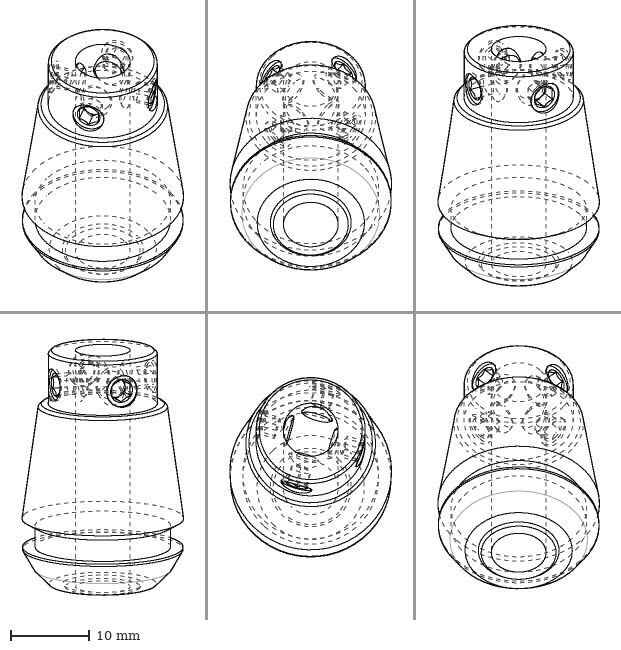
import cadquery as cq
import math

total_height = 31.0
bore_diameter = 7.0
head_diameter = 13.98
head_bottom = 24.0
edge_chamfer = 0.4

taper_diameter = 20.75
taper_angle = math.radians(8)
taper_bottom = 8.93

groove_diameter = 17.4
groove_top = 8.0
groove_bottom = 5.2

collar_diameter = 20.6
collar_bottom = 4.9
upper_nose_angle = math.radians(30)
nose_break = 2.32
nose_angle = math.radians(45)
nose_bottom = 0.37

lip_bottom_diameter = 9.6

screw_count = 4
screw_hole_diameter = 4.12
screw_diameter = 5.0
screw_height = 27.0
screw_tip_radius = 2.75
screw_tip_chamfer = 0.68
screw_face_radius = 6.5
hex_sides = 6
hex_flats = 2.5
hex_depth = 2.0
hex_mouth_diameter = 3.0
drill_point_angle = math.radians(30)

hex_corners = hex_flats / math.cos(math.pi / hex_sides)


def turned_body():
    head_radius = head_diameter / 2
    taper_radius = taper_diameter / 2
    shoulder_edge = head_bottom - edge_chamfer
    shoulder_radius = taper_radius - (shoulder_edge - taper_bottom) * math.tan(taper_angle)
    groove_radius = groove_diameter / 2
    collar_radius = collar_diameter / 2
    nose_break_radius = collar_radius - (collar_bottom - nose_break) * math.tan(upper_nose_angle)
    nose_radius = nose_break_radius - (nose_break - nose_bottom) * math.tan(nose_angle)
    lip_radius = lip_bottom_diameter / 2
    lip_top_radius = lip_radius + nose_bottom
    bore_radius = bore_diameter / 2

    half_section = [
        (bore_radius, 0),
        (lip_radius, 0),
        (lip_top_radius, nose_bottom),
        (nose_radius, nose_bottom),
        (nose_break_radius, nose_break),
        (collar_radius, collar_bottom),
        (collar_radius, groove_bottom),
        (groove_radius, groove_bottom),
        (groove_radius, groove_top),
        (taper_radius, taper_bottom),
        (shoulder_radius, shoulder_edge),
        (shoulder_radius - edge_chamfer, head_bottom),
        (head_radius, head_bottom),
        (head_radius, total_height - edge_chamfer),
        (head_radius - edge_chamfer, total_height),
        (bore_radius, total_height),
    ]
    return cq.Workplane("XZ").polyline(half_section).close().revolve(360, (0, 0), (0, 1))


def around_head(shape, index):
    """Turn a shape built along +X to its place around the head."""
    return shape.rotate((0, 0, 0), (0, 0, 1), index * 360 / screw_count)


def radial_plane(radius):
    """Plane at the screw height whose normal points outward along +X."""
    return cq.Workplane(cq.Plane((radius, 0, screw_height), (0, 0, 1), (1, 0, 0)))


def screw_hole():
    return radial_plane(0).circle(screw_hole_diameter / 2).extrude(head_diameter)


def set_screw():
    length = screw_face_radius - screw_tip_radius
    screw = radial_plane(screw_tip_radius).circle(screw_diameter / 2).extrude(length)
    screw = screw.faces("<X").chamfer(screw_tip_chamfer)

    floor_radius = screw_face_radius - hex_depth
    socket = radial_plane(floor_radius).polygon(hex_sides, hex_corners).extrude(hex_depth)

    point_depth = hex_flats / 2 * math.tan(drill_point_angle)
    axis = cq.Vector(1, 0, 0)
    drill_point = cq.Solid.makeCone(
        0, hex_flats / 2, point_depth, cq.Vector(floor_radius - point_depth, 0, screw_height), axis
    )
    mouth_radius = hex_mouth_diameter / 2
    countersink = cq.Solid.makeCone(
        0, mouth_radius, mouth_radius, cq.Vector(screw_face_radius - mouth_radius, 0, screw_height), axis
    )
    return screw.cut(socket).cut(cq.Workplane(drill_point)).cut(cq.Workplane(countersink))


result = turned_body()
for index in range(screw_count):
    result = result.cut(around_head(screw_hole(), index))
for index in range(screw_count):
    result = result.union(around_head(set_screw(), index))